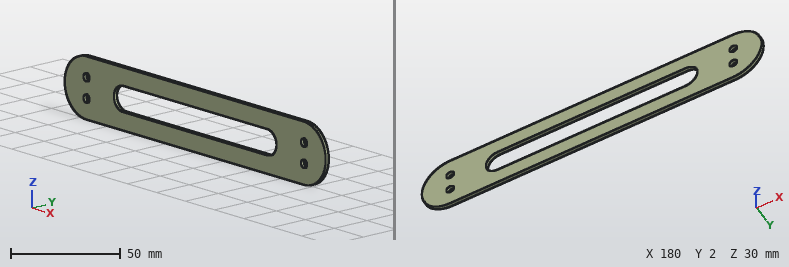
import cadquery as cq

plate_length = 180.0
plate_height = 30.0
plate_thickness = 2.0

slot_length = 112.0
slot_height = 12.5

hole_diameter = 4.0
hole_spacing_x = plate_length - plate_height
hole_spacing_z = 10.0


def rounded_bar(length, height):
    """Bar with semicircular ends, centred on the origin, through the plate thickness."""
    return cq.Workplane("XZ").slot2D(length, height).extrude(plate_thickness / 2, both=True)


def end_holes():
    """Four cylinders that cut the hole pairs through the plate."""
    return (
        cq.Workplane("XZ")
        .rarray(hole_spacing_x, hole_spacing_z, 2, 2)
        .circle(hole_diameter / 2)
        .extrude(plate_thickness / 2, both=True)
    )


plate = rounded_bar(plate_length, plate_height)
slot = rounded_bar(slot_length, slot_height)
result = plate.cut(slot).cut(end_holes())